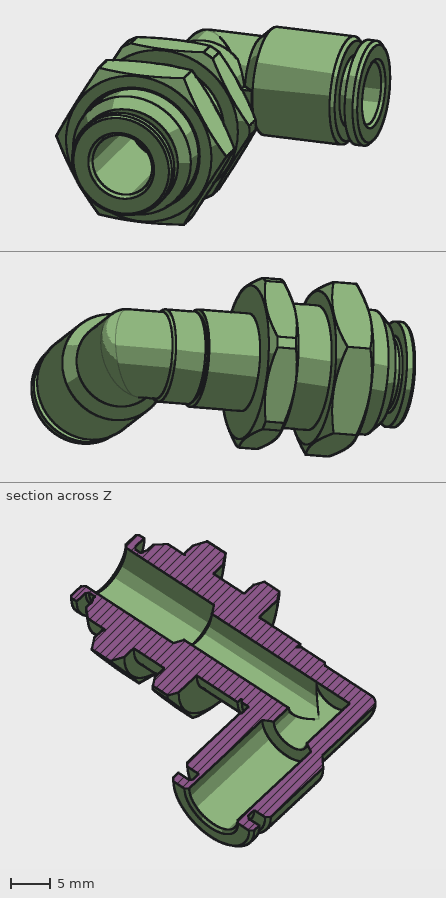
import cadquery as cq
import math


overall_length = 42.9

elbow_radius = 5.58
corner_fillet = 1.5

collar_radius = 11.9 / 2
collar_bevel = 0.45
collar_start = 3.5
collar_end = 8.32
sleeve_radius = 6.25

barrel_radius = 16.0 / 2
barrel_nose_radius = 6.75
barrel_nose_length = 1.37
barrel_end = 33.2
barrel_lip_base_radius = 5.55
barrel_lip_tip_radius = 4.98
barrel_lip_length = 0.25
nut_across_flats = 20.0
nut_across_corners = nut_across_flats / math.cos(math.radians(30))
nut_face_radius = 9.85
nut_chamfer_angle = 30.0
rear_nut_start = 15.15
rear_nut_length = 4.0
rear_nut_corner_radius = 11.15
front_nut_start = 24.2
front_nut_length = 5.0
countersink_radius = 8.3
countersink_depth = countersink_radius - barrel_radius

port_radius = 7.0
port_cone_start = 5.95
port_cone_end = 7.5
port_end = 18.5
port_bevel = 0.5

neck_radius = 9.3 / 2
flange_radius = 6.78
flange_root_radius = 4.98
flange_root_length = 0.3
ring_overlap = 0.45
stem_tip = overall_length - port_radius
stem_flange_length = 1.2
stem_flange_bevel = 0.3
port_tip = 21.5
port_flange_length = 1.55
port_flange_bevel = 0.47

tube_radius = 4.05
tube_mouth_radius = 4.45
tube_depth = 15.0
bore_radius = 2.75
seat_length = 0.75

gusset_thickness = 1.97
gusset_reach = 6.8


def turned(profile):
    """Revolve (distance, radius) points about the +X axis."""
    outline = [(profile[0][0], 0), *profile, (profile[-1][0], 0)]
    return cq.Workplane("XY").polyline(outline).close().revolve(360, (0, 0, 0), (1, 0, 0))


def along_stem(body):
    """Turn a body built along +X so that it points along -Y."""
    return body.rotate((0, 0, 0), (0, 0, 1), -90)


def half_space(angle):
    """Large block on the +X side of an upright plane through the origin, turned about Z."""
    size = 4 * port_cone_end
    block = cq.Workplane("XY").box(size, 2 * size, size, centered=(False, True, True))
    return block.rotate((0, 0, 0), (0, 0, 1), angle)


def elbow():
    """Two equal cylinders mitred together, with the outer mitre edge rounded."""
    rod = cq.Workplane("YZ").circle(elbow_radius).extrude(port_cone_end, both=True)
    port_leg = rod.intersect(half_space(45))
    stem_leg = along_stem(rod).intersect(half_space(225))
    legs = port_leg.union(stem_leg)

    outer_edges = cq.selectors.BoxSelector(
        (-elbow_radius, 0.45, -elbow_radius), (-0.45, elbow_radius, elbow_radius)
    )
    outer_half = legs.intersect(half_space(135)).edges(outer_edges).fillet(corner_fillet)
    inner_half = legs.intersect(half_space(-45))
    return outer_half.union(inner_half)


def release_ring(body_end, tip, flange_length, flange_bevel):
    """Neck and flange that stand out of a tube port."""
    flange_start = tip - flange_length
    return turned([
        (body_end - ring_overlap, neck_radius),
        (flange_start - flange_root_length, neck_radius),
        (flange_start, flange_root_radius),
        (flange_start, flange_radius),
        (tip - flange_bevel, flange_radius),
        (tip, flange_radius - flange_bevel),
    ])


def stem():
    """Collar, sleeve and threaded barrel, ending in a low conical lip."""
    collar_edge_radius = collar_radius - collar_bevel
    barrel_start = rear_nut_start + rear_nut_length / 2
    return along_stem(turned([
        (collar_start, collar_edge_radius),
        (collar_start + collar_bevel, collar_radius),
        (collar_end - collar_bevel, collar_radius),
        (collar_end, collar_edge_radius),
        (collar_end, sleeve_radius),
        (barrel_start, sleeve_radius),
        (barrel_start, barrel_radius),
        (barrel_end - barrel_nose_length, barrel_radius),
        (barrel_end, barrel_nose_radius),
        (barrel_end, barrel_lip_base_radius),
        (barrel_end + barrel_lip_length, barrel_lip_tip_radius),
    ]))


def side_port():
    return turned([
        (port_cone_start, elbow_radius),
        (port_cone_end, port_radius),
        (port_end - port_bevel, port_radius),
        (port_end, port_radius - port_bevel),
    ])


def nut(start, length, corner_radius):
    """Hexagon with both faces chamfered and its corners turned to a radius."""
    end = start + length
    hexagon = (
        cq.Workplane("YZ").workplane(offset=start)
        .polygon(6, nut_across_corners).extrude(length)
    )
    chamfer = (corner_radius - nut_face_radius) * math.tan(math.radians(nut_chamfer_angle))
    envelope = turned([
        (start, nut_face_radius),
        (start + chamfer, corner_radius),
        (end - chamfer, corner_radius),
        (end, nut_face_radius),
    ])
    return along_stem(hexagon.intersect(envelope))


def front_nut():
    """Lock nut with a countersunk thread at its front face."""
    end = front_nut_start + front_nut_length
    countersink = turned([(end - countersink_depth, barrel_radius), (end, countersink_radius)])
    return nut(front_nut_start, front_nut_length, nut_across_corners / 2).cut(along_stem(countersink))


def gusset():
    return (
        cq.Workplane("XY").rect(port_cone_end, -gusset_reach, centered=False)
        .extrude(gusset_thickness / 2, both=True)
    )


def passage(tip, bore_end):
    """Tube socket with a conical seat, running on as a narrower bore."""
    seat = tip - tube_depth
    mouth = tip - (tube_mouth_radius - tube_radius)
    return turned([
        (bore_end, bore_radius),
        (seat - seat_length, bore_radius),
        (seat, tube_radius),
        (mouth, tube_radius),
        (tip, tube_mouth_radius),
    ])


result = (
    elbow()
    .union(gusset())
    .union(stem())
    .union(side_port())
    .union(nut(rear_nut_start, rear_nut_length, rear_nut_corner_radius))
    .union(front_nut())
    .union(along_stem(release_ring(barrel_end, stem_tip, stem_flange_length, stem_flange_bevel)))
    .union(release_ring(port_end, port_tip, port_flange_length, port_flange_bevel))
    .cut(along_stem(passage(stem_tip, 0)))
    .cut(passage(port_tip, -bore_radius))
)